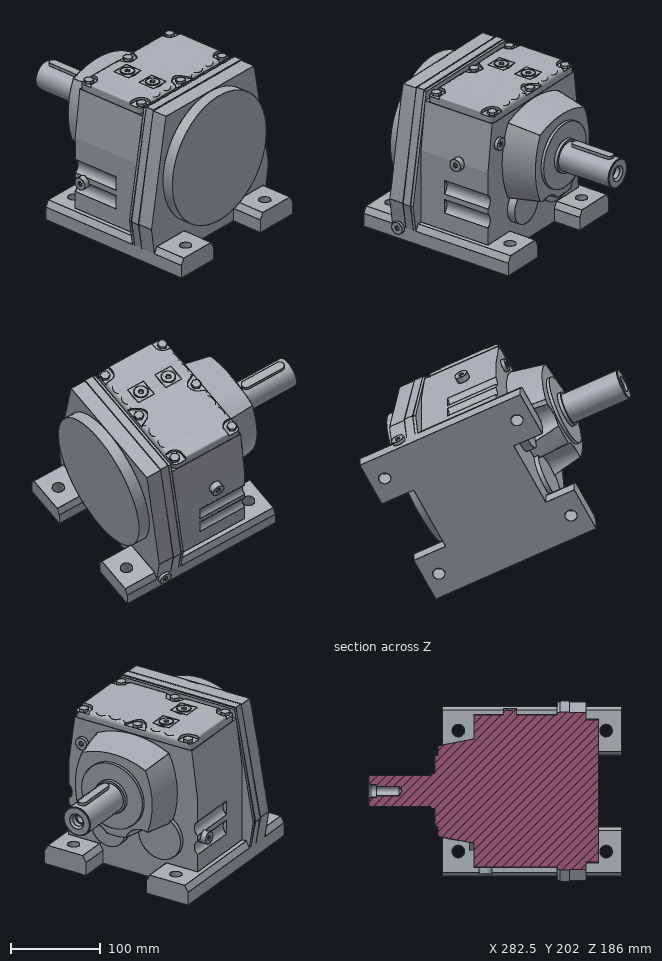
import cadquery as cq
import math

axis_z = 115.0

collar_x = 69.5
register_x = 73.5
snout_x = 77.0
housing_x = 117.5
flange_x = 210.2
rim_x = 213.5
rim_end_x = 224.0
motor_x = 242.7
motor_back_x = 256.5

shaft_radius = 17.5
shaft_chamfer = 0.8
collar_radius = 20.0
register_radius = 40.0
key_start_x = 6.8
key_length = 56.0
key_width = 10.2
key_top_z = 135.5
key_height = 11.3
bore_mouth_radius = 9.3
bore_radius = 6.8
bore_depth = 8.5
drill_radius = 5.0
drill_depth = 34.0
drill_tip_angle = 30.0

snout_front_corner = 41.8
snout_front_bulge = 50.8
snout_back_corner = 47.5
snout_back_bulge = 58.5

bearing_caps = [
    (-38.0, 57.3, 27.7, 112.5, 23.7),
    (26.5, 52.0, 22.0, 107.4, 21.2),
]

housing_half_width = 85.3
housing_top_half_width = 77.5
housing_top_z = 174.0
side_groove_zs = (78.3, 54.2)
side_groove_width = 17.2
side_groove_depth = 4.5
side_groove_length = 60.2

rim_width = 202.0
rim_half_width = rim_width / 2
rim_widest_z = 49.5
rim_top_half_width = 75.1
top_z = 186.0
flange_inset = 1.0

motor_radius = 80.2
motor_axis_z = 104.0

foot_x = 82.2
foot_length = 200.3
foot_inner_y = 39.8
foot_outer_y = 95.0
foot_height = 24.0
foot_bevel_width = 4.2
foot_bevel_height = 7.5
foot_bevel_z = foot_height - foot_bevel_height
foot_hole_radius = 6.8
foot_hole_xs = (100.0, 265.0)
foot_hole_y = 67.5

cover_x = 117.2
cover_length = 89.8
cover_half_width = 77.0
cover_top_z = 185.0
cover_round = 6.0
cover_side_round = 2.5
cover_groove_count = 6
cover_groove_pitch = 18.0
cover_groove_depth = 1.5

bolt_inset = 6.2
bolt_corner_y = 69.0
bolt_middle_y = -2.0
bolt_flats = 10.0
bolt_seat_z = 181.6
bolt_seat_radius = 10.0
middle_seat_half_width = 14.0

plug_radius = 7.3
plug_root = 11.3
socket_flats = 5.0
socket_depth = 2.3
housing_plugs = [
    ((130.5, -92.5, 63.0), (0, -1, 0)),
    ((157.5, 92.5, axis_z), (0, 1, 0)),
    ((113.3, 66.0, 144.5), (-1, 0, 0)),
    ((233.3, 99.2, 14.7), (0, 1, 0)),
]
cover_plug_xs = (144.0, 181.0)
cover_plug_y = -26.8
cover_plug_radius = 8.2
cover_plug_chamfer = 0.5
plug_pad_size = 21.5
plug_pad_depth = 2.8


def along_x(start_x, y=0.0, z=0.0):
    """Workplane at start_x facing +X, with local axes along Y and Z."""
    return cq.Workplane("YZ", origin=(start_x, y, z))


def disc(start_x, end_x, y, z, radius):
    return along_x(start_x, y, z).circle(radius).extrude(end_x - start_x)


def prism(start_x, end_x, points):
    return along_x(start_x).polyline(points).close().extrude(end_x - start_x)


def mirrored(right_side):
    """Close a right-hand outline with its mirror image about Y = 0."""
    return right_side + [(-y, z) for y, z in reversed(right_side)]


def hexagon(plane, flats, length):
    """Hexagonal prism with corners along the local X direction of the plane."""
    return cq.Workplane(plane).polygon(6, flats / math.cos(math.pi / 6)).extrude(length)


def add_plug(solid, tip, outward, corner_direction):
    """Join a screw plug whose outer face is centred on tip, and sink its hexagon socket."""
    plane = cq.Plane(origin=tip, xDir=corner_direction, normal=outward)
    body = cq.Workplane(plane).circle(plug_radius).extrude(-plug_root)
    return solid.union(body).cut(hexagon(plane, socket_flats, -socket_depth))


def make_shaft():
    """Stepped shaft with its key, a countersunk bore and a pointed drill hole below it."""
    bore_cone = bore_mouth_radius - bore_radius
    drill_tip = drill_radius * math.tan(math.radians(drill_tip_angle))
    profile = [
        (bore_depth, bore_radius),
        (bore_cone, bore_radius),
        (0, bore_mouth_radius),
        (0, shaft_radius - shaft_chamfer),
        (shaft_chamfer, shaft_radius),
        (collar_x, shaft_radius),
        (collar_x, collar_radius),
        (register_x, collar_radius),
        (register_x, register_radius),
        (housing_x, register_radius),
        (housing_x, 0),
        (drill_depth + drill_tip, 0),
        (drill_depth, drill_radius),
        (bore_depth, drill_radius),
    ]
    shaft = cq.Workplane("XY").polyline(profile).close().revolve(360, (0, 0), (1, 0))
    shaft = shaft.translate((0, 0, axis_z))
    key = (
        cq.Workplane("XY", origin=(key_start_x + key_length / 2, 0, key_top_z))
        .slot2D(key_length, key_width)
        .extrude(-key_height)
    )
    return shaft.union(key)


def snout_section(workplane, corner, bulge):
    return (
        workplane.moveTo(corner, corner)
        .threePointArc((0, bulge), (-corner, corner))
        .threePointArc((-bulge, 0), (-corner, -corner))
        .threePointArc((0, -bulge), (corner, -corner))
        .threePointArc((bulge, 0), (corner, corner))
        .close()
    )


def make_snout():
    front = snout_section(along_x(snout_x, 0, axis_z), snout_front_corner, snout_front_bulge)
    back_plane = front.workplane(offset=housing_x - snout_x)
    snout = snout_section(back_plane, snout_back_corner, snout_back_bulge).loft(ruled=True)
    for y, z, _, face_x, clearance in bearing_caps:
        snout = snout.cut(disc(snout_x, face_x, y, z, clearance))
    for y, z, radius, face_x, _ in bearing_caps:
        snout = snout.union(disc(face_x, housing_x, y, z, radius))
    return snout


def make_housing():
    outline = mirrored([
        (housing_half_width, 0),
        (housing_half_width, axis_z),
        (housing_top_half_width, housing_top_z),
    ])
    housing = prism(housing_x, flange_x, outline)
    half = side_groove_width / 2
    groove_radius = (half**2 + side_groove_depth**2) / (2 * side_groove_depth)
    groove_axis_y = housing_half_width - side_groove_depth + groove_radius
    for z in side_groove_zs:
        for side in (-1, 1):
            groove_end_x = housing_x + side_groove_length
            housing = housing.cut(disc(housing_x, groove_end_x, side * groove_axis_y, z, groove_radius))
    return housing


def flange_plate(start_x, end_x, inset):
    """Plate standing flush between the outer sides of the feet; inset shrinks its rim."""
    outline = mirrored([
        (foot_outer_y, 0),
        (foot_outer_y, foot_bevel_z),
        (rim_half_width - inset, rim_widest_z),
        (housing_top_half_width, housing_top_z),
        (rim_top_half_width, top_z - inset),
    ])
    return prism(start_x, end_x, outline)


def make_flange():
    return (
        flange_plate(flange_x, motor_x, flange_inset)
        .union(flange_plate(rim_x, rim_end_x, 0))
        .union(disc(motor_x, motor_back_x, 0, motor_axis_z, motor_radius))
    )


def make_foot(side):
    outline = [
        (side * foot_inner_y, 0),
        (side * foot_inner_y, foot_bevel_z),
        (side * (foot_inner_y + foot_bevel_width), foot_height),
        (side * (foot_outer_y - foot_bevel_width), foot_height),
        (side * foot_outer_y, foot_bevel_z),
        (side * foot_outer_y, 0),
    ]
    holes = (
        cq.Workplane("XY")
        .pushPoints([(x, side * foot_hole_y) for x in foot_hole_xs])
        .circle(foot_hole_radius)
        .extrude(foot_height)
    )
    return prism(foot_x, foot_x + foot_length, outline).cut(holes)


def cover_waves():
    """Cutter for the wavy grooves: each wave is four equal arcs, convex at the crests."""
    step = cover_groove_pitch / 4
    drop = cover_groove_depth / 2
    arc_radius = (step**2 + drop**2) / (2 * drop)
    mid_drop = arc_radius - math.sqrt(arc_radius**2 - (step / 2) ** 2)
    start_y = -cover_groove_count * cover_groove_pitch / 2
    valley = -cover_groove_depth
    waves = along_x(cover_x, 0, cover_top_z).moveTo(start_y, 0)
    for groove in range(cover_groove_count):
        y = start_y + groove * cover_groove_pitch
        waves = (
            waves.threePointArc((y + step / 2, -mid_drop), (y + step, -drop))
            .threePointArc((y + 1.5 * step, valley + mid_drop), (y + 2 * step, valley))
            .threePointArc((y + 2.5 * step, valley + mid_drop), (y + 3 * step, -drop))
            .threePointArc((y + 3.5 * step, -mid_drop), (y + 4 * step, 0))
        )
    return (
        waves.lineTo(-start_y, cover_groove_depth)
        .lineTo(start_y, cover_groove_depth)
        .close()
        .extrude(cover_length)
    )


def seat_plane(x=0.0, y=0.0):
    return cq.Workplane("XY", origin=(x, y, bolt_seat_z))


def seat_block(points):
    return seat_plane().polyline(points).close().extrude(top_z - bolt_seat_z)


def seat_disc(x, y):
    return seat_plane(x, y).circle(bolt_seat_radius).extrude(top_z - bolt_seat_z)


def corner_seat(x, y, end, side):
    """Recess open to two cover edges; end and side are the outward signs along X and Y."""
    outer_x = x + end * bolt_inset
    outer_y = side * cover_half_width
    inner_x = x - end * bolt_seat_radius
    inner_y = y - side * bolt_seat_radius
    side_block = seat_block([(inner_x, y), (inner_x, outer_y), (outer_x, outer_y), (outer_x, y)])
    end_block = seat_block([(x, inner_y), (x, outer_y), (outer_x, outer_y), (outer_x, inner_y)])
    return seat_disc(x, y).union(side_block).union(end_block)


def middle_seat(x, y, end):
    """Recess that flares from the bolt to the end edge, with flanks tangent to its round."""
    reach = math.hypot(bolt_inset, middle_seat_half_width)
    tangent_angle = math.acos(bolt_seat_radius / reach)
    tangent_angle += math.atan2(middle_seat_half_width, bolt_inset)
    tangent_x = x + end * bolt_seat_radius * math.cos(tangent_angle)
    tangent_rise = bolt_seat_radius * math.sin(tangent_angle)
    outer_x = x + end * bolt_inset
    flare = seat_block([
        (outer_x, y - middle_seat_half_width),
        (outer_x, y + middle_seat_half_width),
        (tangent_x, y + tangent_rise),
        (tangent_x, y - tangent_rise),
    ])
    return seat_disc(x, y).union(flare)


def cover_block():
    return (
        cq.Workplane("XY", origin=(cover_x + cover_length / 2, 0, housing_top_z))
        .rect(cover_length, 2 * cover_half_width)
        .extrude(cover_top_z - housing_top_z)
    )


def make_cover_body():
    """Cover with rounded corners, large end rounds, small side rounds and wavy grooves."""
    rounded_corners = cover_block().edges("|Z").fillet(cover_round)
    rounded_ends = cover_block().edges(">Z and |Y").fillet(cover_round)
    rounded_sides = cover_block().edges(">Z and |X").fillet(cover_side_round)
    return rounded_corners.intersect(rounded_ends).intersect(rounded_sides).cut(cover_waves())


def add_cover_plugs(cover):
    """Screw plugs with a bevelled rim, each on a square pad level with the groove crests."""
    for x in cover_plug_xs:
        pad = (
            cq.Workplane("XY", origin=(x, cover_plug_y, cover_top_z))
            .rect(plug_pad_size, plug_pad_size)
            .extrude(-plug_pad_depth)
        )
        rim = (
            cq.Workplane("XY", origin=(x, cover_plug_y, cover_top_z))
            .circle(cover_plug_radius)
            .extrude(top_z - cover_top_z)
            .faces(">Z")
            .chamfer(cover_plug_chamfer)
        )
        socket_plane = cq.Plane(origin=(x, cover_plug_y, top_z), xDir=(0, 1, 0), normal=(0, 0, 1))
        socket = hexagon(socket_plane, socket_flats, -socket_depth)
        cover = cover.union(pad).union(rim).cut(socket)
    return cover


def add_cover_bolts(cover):
    """Hexagon bolt heads in open recesses, three along each end of the cover."""
    for end in (-1, 1):
        end_x = cover_x if end < 0 else cover_x + cover_length
        bolt_x = end_x - end * bolt_inset
        for side in (-1, 1):
            cover = cover.cut(corner_seat(bolt_x, side * bolt_corner_y, end, side))
        cover = cover.cut(middle_seat(bolt_x, bolt_middle_y, end))
        for y in (-bolt_corner_y, bolt_middle_y, bolt_corner_y):
            head_plane = cq.Plane(origin=(bolt_x, y, cover_top_z), xDir=(0, 1, 0), normal=(0, 0, 1))
            cover = cover.union(hexagon(head_plane, bolt_flats, bolt_seat_z - cover_top_z))
    return cover


def add_housing_plugs(solid):
    up = (0, 0, 1)
    for tip, outward in housing_plugs:
        solid = add_plug(solid, tip, outward, up)
    return solid


result = make_housing().union(make_flange()).union(make_snout()).union(make_shaft())
for foot_side in (-1, 1):
    result = result.union(make_foot(foot_side))
result = result.union(add_cover_bolts(add_cover_plugs(make_cover_body())))
result = add_housing_plugs(result)